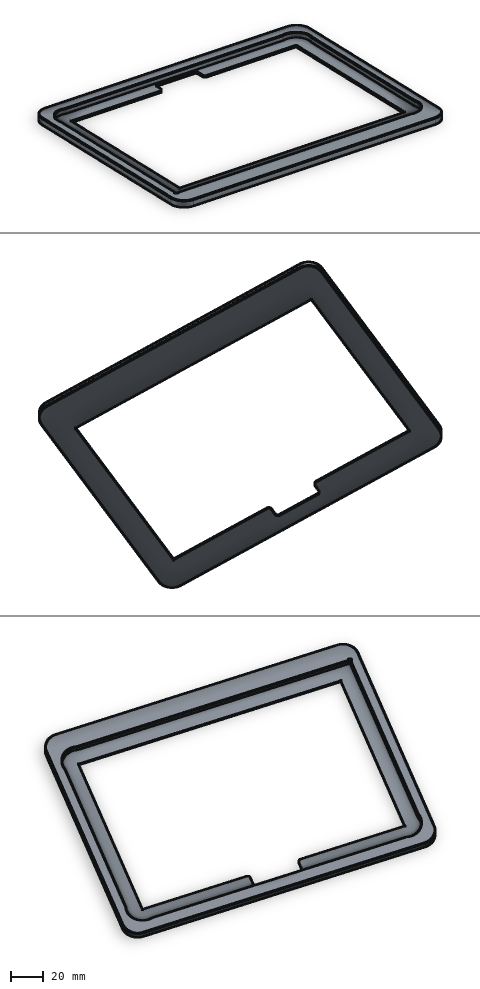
import cadquery as cq

width = 152.8
length = 203.8
thickness = 5.0
outer_radius = 10.0

rim_chamfer = 0.5

window_left = -58.3
window_right = 53.4
window_length = 171.2
window_relief_radius = 0.3

ledge_width = 9.5
pocket_depth = 3.7
pocket_left = window_left - ledge_width
pocket_right = window_right + ledge_width
pocket_length = window_length + 2 * ledge_width

pocket_corner_radius = 10.0
pocket_relief_radius = 0.8

notch_left = -66.5
notch_length = 31.5
notch_radius = 1.8

margin = 0.2


def block(left, right, span, bottom, height):
    """Box from left to right in X, centred on Y, rising from bottom."""
    return (
        cq.Workplane("XY", origin=((left + right) / 2, 0, bottom))
        .rect(right - left, span)
        .extrude(height)
    )


def posts(points, radius, bottom, height):
    """Upright cylinders at the given X, Y points."""
    return cq.Workplane("XY", origin=(0, 0, bottom)).pushPoints(points).circle(radius).extrude(height)


def make_plate():
    plate = block(-width / 2, width / 2, length, 0, thickness)
    return plate.edges("|Z").fillet(outer_radius).faces("<Z or >Z").chamfer(rim_chamfer)


def make_pocket():
    """Pocket with three round corners and a relieved square corner at +X, -Y."""
    floor = thickness - pocket_depth
    round_corners = [
        (window_left, window_length / 2),
        (window_left, -window_length / 2),
        (window_right, window_length / 2),
    ]
    pocket = block(pocket_left, pocket_right, pocket_length, floor, pocket_depth)
    pocket = pocket.edges("|Z and (<X or >Y)").chamfer(ledge_width)
    pocket = pocket.union(posts(round_corners, pocket_corner_radius, floor, pocket_depth))
    square_corner = [(pocket_right, -pocket_length / 2)]
    return pocket.union(posts(square_corner, pocket_relief_radius, floor, pocket_depth))


def bevel_pocket_rim(body):
    """Chamfer the top edges of the pocket, leaving the outer rim alone."""
    reach = pocket_corner_radius - ledge_width + pocket_relief_radius + margin
    rim = cq.selectors.BoxSelector(
        (pocket_left - reach, -pocket_length / 2 - reach, thickness - margin),
        (pocket_right + reach, pocket_length / 2 + reach, thickness + margin),
    )
    return body.edges(rim).chamfer(rim_chamfer)


def make_opening():
    """Window with relieved corners, joined to its notch with rounded corners."""
    window = block(window_left, window_right, window_length, 0, thickness)
    notch = block(notch_left, window_left, notch_length, 0, thickness)
    notch_corners = cq.selectors.BoxSelector(
        (notch_left - margin, -notch_length, 0),
        (window_left + margin, notch_length, thickness),
    )
    opening = window.union(notch).edges("|Z").edges(notch_corners).fillet(notch_radius)
    window_corners = [(x, y * window_length / 2) for x in (window_left, window_right) for y in (-1, 1)]
    return opening.union(posts(window_corners, window_relief_radius, 0, thickness))


result = bevel_pocket_rim(make_plate().cut(make_pocket())).cut(make_opening())